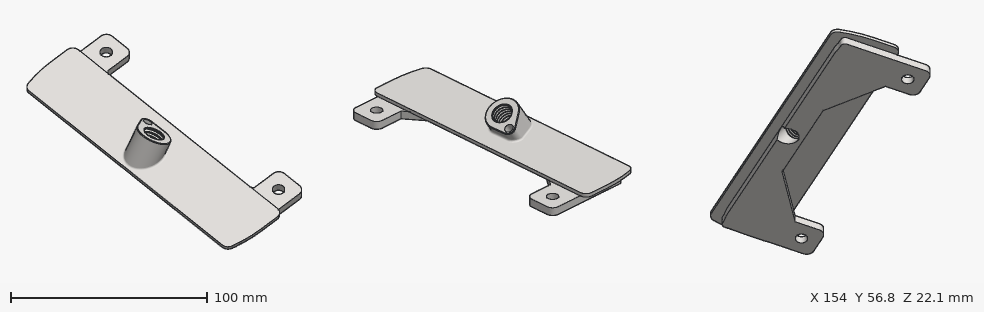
import cadquery as cq
import math

total_height = 22.06
total_depth = 56.8

plate_width = 154.0
plate_depth = 37.0
plate_thickness = 2.0
plate_side_arc_start = 21.5
plate_rear_radius = 4.0
plate_front_radius = 4.0

bar_thickness = 4.6
bar_half_width = 72.7
bar_front = 5.6
bar_rear = 17.9
bar_corner_setback = 0.5
bar_corner_radius = 2.4
bar_ramp_outer = 68.2
bar_ramp_inner = 64.5

tab_width = 19.0
tab_radius = 4.0
tab_hole_diameter = 6.3
tab_hole_offset = 9.5
gusset_top = 39.2
gusset_angle = 36.0

boss_tilt = 33.0
boss_radius = 9.5
lobe_radius = 3.6
lobe_u = -9.6
lobe_v = 5.6
boss_mouth_y = 20.2
boss_rim_chamfer = 0.4
boss_foot_fillet = 1.0

inch = 25.4
threads_per_inch = 13
bore_diameter = 10.58
lobe_hole_diameter = 4.7
lobe_hole_depth = 8.0
thread_diameter = inch / 2
thread_pitch = inch / threads_per_inch
thread_turns = 7
thread_root_flat = thread_pitch / 8
thread_flank_angle = 30.0

plate_top = bar_thickness + plate_thickness
tilt = math.radians(boss_tilt)
boss_mouth_z = total_height - (boss_radius - boss_rim_chamfer) * math.sin(tilt)
through_length = 2 * total_height

mouth_plane = cq.Plane(
    origin=(0, boss_mouth_y, boss_mouth_z),
    xDir=(1, 0, 0),
    normal=(0, math.sin(tilt), math.cos(tilt)),
)


def make_plate():
    """Cover plate with curved front halves of the sides and rounded corners."""
    half_width = plate_width / 2
    front_half_width = math.sqrt(half_width**2 - plate_side_arc_start**2)
    arc_angle = math.asin(plate_side_arc_start / half_width) / 2
    arc_mid_x = half_width * math.cos(arc_angle)
    arc_mid_y = plate_side_arc_start - half_width * math.sin(arc_angle)
    plate = (
        cq.Workplane("XY", origin=(0, 0, bar_thickness))
        .moveTo(-front_half_width, 0)
        .lineTo(front_half_width, 0)
        .threePointArc((arc_mid_x, arc_mid_y), (half_width, plate_side_arc_start))
        .lineTo(half_width, plate_depth)
        .lineTo(-half_width, plate_depth)
        .lineTo(-half_width, plate_side_arc_start)
        .threePointArc((-arc_mid_x, arc_mid_y), (-front_half_width, 0))
        .close()
        .extrude(plate_thickness)
    )
    plate = plate.edges("|Z and >Y").fillet(plate_rear_radius)
    return plate.edges("|Z and <Y").fillet(plate_front_radius)


def make_bar():
    """Mounting bar with end tabs, gussets into the bar, and tab holes."""
    corner_front = bar_front + bar_corner_setback
    tab_inner = bar_half_width - tab_width
    gusset_foot = tab_inner - (gusset_top - bar_rear) / math.tan(math.radians(gusset_angle))
    right_half = [
        (bar_ramp_inner, bar_front),
        (bar_ramp_outer, corner_front),
        (bar_half_width, corner_front),
        (bar_half_width, total_depth),
        (tab_inner, total_depth),
        (tab_inner, gusset_top),
        (gusset_foot, bar_rear),
    ]
    left_half = [(-x, y) for x, y in reversed(right_half)]
    bar = cq.Workplane("XY").polyline(right_half + left_half).close().extrude(bar_thickness)
    bar = bar.edges("|Z and >Y").fillet(tab_radius)
    for side in (">X", "<X"):
        bar = bar.faces(side).edges("|Z and <Y").fillet(bar_corner_radius)
    hole_x = bar_half_width - tab_hole_offset
    hole_y = total_depth - tab_hole_offset
    holes = (
        cq.Workplane("XY")
        .pushPoints([(-hole_x, hole_y), (hole_x, hole_y)])
        .circle(tab_hole_diameter / 2)
        .extrude(bar_thickness)
    )
    return bar.cut(holes)


def make_boss():
    """Tilted teardrop boss, trimmed at the plate top and chamfered round its mouth."""
    lobe_distance = math.hypot(lobe_u, lobe_v)
    lobe_direction = math.atan2(lobe_v, lobe_u)
    tangent_angle = math.acos((boss_radius - lobe_radius) / lobe_distance)

    def on_main(angle):
        return (boss_radius * math.cos(angle), boss_radius * math.sin(angle))

    def on_lobe(angle):
        return (lobe_u + lobe_radius * math.cos(angle), lobe_v + lobe_radius * math.sin(angle))

    upper = lobe_direction - tangent_angle
    lower = lobe_direction + tangent_angle
    boss = (
        cq.Workplane(mouth_plane)
        .moveTo(*on_main(upper))
        .lineTo(*on_lobe(upper))
        .threePointArc(on_lobe(lobe_direction), on_lobe(lower))
        .lineTo(*on_main(lower))
        .threePointArc(on_main(lobe_direction + math.pi), on_main(upper))
        .close()
        .extrude(-through_length)
    )
    boss = boss.faces(cq.selectors.DirectionMinMaxSelector(mouth_plane.zDir, True)).chamfer(boss_rim_chamfer)
    above_plate = cq.Workplane("XY", origin=(0, boss_mouth_y, plate_top)).box(
        plate_width, 2 * plate_width, total_height, centered=(True, True, False)
    )
    return boss.intersect(above_plate)


def add_foot_fillet(body):
    """Round the joint between the boss and the plate top."""
    tolerance = 0.01
    edge_clearance = 0.5
    reach = plate_depth / 2 - edge_clearance
    middle_y = plate_depth / 2
    foot = cq.selectors.BoxSelector(
        (-reach, middle_y - reach, plate_top - tolerance),
        (reach, middle_y + reach, plate_top + tolerance),
    )
    return body.edges(foot).fillet(boss_foot_fillet)


def make_threaded_bore():
    """Through bore whose thread is a row of V-shaped ring grooves, the first one opening into the mouth."""
    crest = bore_diameter / 2
    root = thread_diameter / 2
    half_root = thread_root_flat / 2
    half_crest = half_root + (root - crest) * math.tan(math.radians(thread_flank_angle))
    first_groove = thread_pitch / 4
    profile = [(0, thread_pitch), (crest, thread_pitch)]
    for turn in range(thread_turns):
        centre = first_groove - turn * thread_pitch
        profile += [
            (crest, centre + half_crest),
            (root, centre + half_root),
            (root, centre - half_root),
            (crest, centre - half_crest),
        ]
    profile += [(crest, -through_length), (0, -through_length)]
    bore = cq.Workplane("XY").polyline(profile).close().revolve(360, (0, 0), (0, 1))
    upright = bore.rotate((0, 0, 0), (1, 0, 0), 90)
    return cq.Workplane(obj=upright.val().moved(mouth_plane.location))


body = make_plate().union(make_bar()).union(make_boss())
body = add_foot_fillet(body)
lobe_hole = (
    cq.Workplane(mouth_plane).center(lobe_u, lobe_v).circle(lobe_hole_diameter / 2).extrude(-lobe_hole_depth)
)
result = body.cut(make_threaded_bore()).cut(lobe_hole)